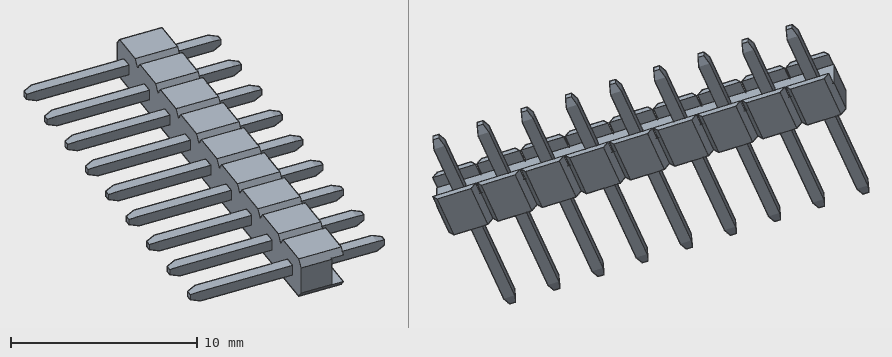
import cadquery as cq

pin_count = 9
row_length = 22.85
pitch = row_length / pin_count

housing_height = 2.5
housing_depth = 2.54
bevel_width = 0.3
bevel_height = 0.41
flange_thickness = 0.37
recess_depth = 0.7

pin_width = 0.65
pin_tip_width = 0.35
pin_tip_length = 0.53
pin_front_reach = 6.04
pin_rear_reach = 3.02
first_pin_x = 1.17


def make_cell(left_x):
    """One octagonal housing cell; neighbouring bevels form the V notches."""
    right_x = left_x + pitch
    half_height = housing_height / 2
    side_half_height = half_height - bevel_height
    return (
        cq.Workplane("XZ")
        .polyline([
            (left_x, -side_half_height),
            (left_x + bevel_width, -half_height),
            (right_x - bevel_width, -half_height),
            (right_x, -side_half_height),
            (right_x, side_half_height),
            (right_x - bevel_width, half_height),
            (left_x + bevel_width, half_height),
            (left_x, side_half_height),
        ])
        .close()
        .extrude(-housing_depth)
    )


def make_rear_recess():
    """Full-length channel in the rear face, between the two flanges."""
    recess_height = housing_height - 2 * flange_thickness
    return cq.Workplane("XY").box(
        row_length, recess_depth, recess_height, centered=(False, False, True)
    ).translate((0, housing_depth - recess_depth, 0))


def make_pin_tip(center_x, base_y, direction):
    """Tapered end of a pin, pointing along +Y (1) or -Y (-1)."""
    return (
        cq.Workplane(cq.Plane((center_x, base_y, 0), (1, 0, 0), (0, direction, 0)))
        .rect(pin_width, pin_width)
        .workplane(offset=pin_tip_length)
        .rect(pin_tip_width, pin_tip_width)
        .loft(ruled=True)
    )


def make_pin(center_x):
    front_y = -pin_front_reach + pin_tip_length
    rear_y = housing_depth + pin_rear_reach - pin_tip_length
    shank = cq.Workplane("XY").box(
        pin_width, rear_y - front_y, pin_width, centered=(True, False, True)
    ).translate((center_x, front_y, 0))
    front_tip = make_pin_tip(center_x, front_y, -1)
    rear_tip = make_pin_tip(center_x, rear_y, 1)
    return shank.union(front_tip).union(rear_tip)


housing = make_cell(0)
for index in range(1, pin_count):
    housing = housing.union(make_cell(index * pitch))
housing = housing.cut(make_rear_recess()).clean()

result = housing
for index in range(pin_count):
    result = result.union(make_pin(first_pin_x + index * pitch))